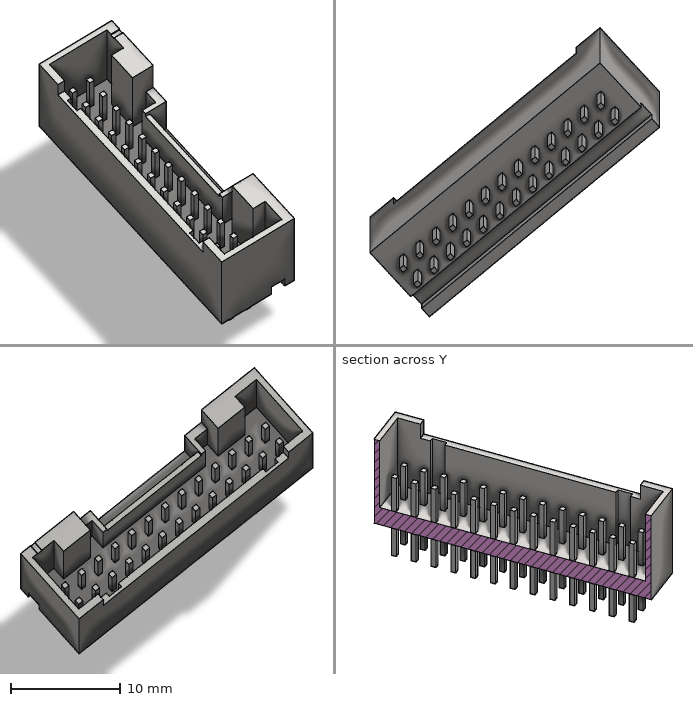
import cadquery as cq


LENGTH = 28.0
WIDTH = 8.3
HEIGHT = 9.6
FLOOR_THICKNESS = 2.0
END_WALL = 0.6
FRONT_WALL = 0.75
BACK_WALL = 1.0

FRONT_CORNER_LENGTH = 2.9
FRONT_WALL_HEIGHT = 8.0

KEYWAY_OFFSET = 3.9
KEYWAY_LENGTH = 1.45
KEYWAY_DEPTH = 0.42

POST_OFFSET = 3.15
POST_END_OFFSET = 6.35
POST_DEPTH = 2.37

POCKET_END_OFFSET = 7.85
BRACKET_END_OFFSET = 8.35
BRACKET_HEIGHT = 6.2
BRACKET_BACK_WALL = 0.85

LIP_THICKNESS = 0.5
LIP_HEIGHT = 5.8
GUSSET_LENGTH = 1.45
GUSSET_THICKNESS = 0.5
GUSSET_HEIGHT = 4.0

CHANNEL_OFFSET = 1.1
CHANNEL_WIDTH = 1.5
CHANNEL_DEPTH = 1.1

MARK_OFFSET = 1.2
MARK_WIDTH = 0.5
MARK_DEPTH = 0.15

PINS_PER_ROW = 13
PIN_PITCH = 2.0
PIN_SIZE = 0.5
PIN_TAIL = 3.1
PIN_TOP = 5.8
FRONT_ROW_OFFSET = 2.38
ROW_SPACING = 1.97

LEFT = -LENGTH / 2
RIGHT = LENGTH / 2
FRONT = -WIDTH / 2
BACK = WIDTH / 2
CAVITY_FRONT = FRONT + FRONT_WALL
CAVITY_BACK = BACK - POST_DEPTH


def block(x_range, y_range, z_range):
    """Box between the given limits along each axis."""
    size = [limits[1] - limits[0] for limits in (x_range, y_range, z_range)]
    corner = (x_range[0], y_range[0], z_range[0])
    return cq.Workplane("XY").box(*size, centered=False).translate(corner)


def both_ends(start, end, y_range, z_range):
    """Mirrored pair of boxes whose start and end are measured from the two ends of the housing."""
    left = block((LEFT + start, LEFT + end), y_range, z_range)
    return left.union(left.mirror("YZ"))


def make_shell():
    """Open-topped box with a wide gap in the back wall and a low front wall."""
    inside = (FLOOR_THICKNESS, HEIGHT)
    shell = block((LEFT, RIGHT), (FRONT, BACK), (0, HEIGHT))
    cavity = block((LEFT + END_WALL, RIGHT - END_WALL), (CAVITY_FRONT, CAVITY_BACK), inside)
    corners = both_ends(END_WALL, POST_OFFSET, (CAVITY_FRONT, BACK - BACK_WALL), inside)
    back_gap = block((LEFT + POST_END_OFFSET, RIGHT - POST_END_OFFSET), (CAVITY_FRONT, BACK), inside)
    front_gap = block(
        (LEFT + FRONT_CORNER_LENGTH, RIGHT - FRONT_CORNER_LENGTH),
        (FRONT, CAVITY_FRONT),
        (FRONT_WALL_HEIGHT, HEIGHT),
    )
    return shell.cut(cavity).cut(corners).cut(back_gap).cut(front_gap)


def make_brackets():
    """L-shaped walls that close off the pockets beside the posts."""
    heights = (FLOOR_THICKNESS, BRACKET_HEIGHT)
    outer = both_ends(POST_END_OFFSET, BRACKET_END_OFFSET, (CAVITY_BACK, BACK), heights)
    pockets = both_ends(POST_END_OFFSET, POCKET_END_OFFSET, (CAVITY_BACK, BACK - BRACKET_BACK_WALL), heights)
    return outer.cut(pockets)


def make_latch_lip():
    """Thin wall between the brackets and the gussets behind its ends."""
    lip_back = CAVITY_BACK + LIP_THICKNESS
    lip = block(
        (LEFT + BRACKET_END_OFFSET, RIGHT - BRACKET_END_OFFSET),
        (CAVITY_BACK, lip_back),
        (FLOOR_THICKNESS, LIP_HEIGHT),
    )
    gussets = both_ends(
        BRACKET_END_OFFSET,
        BRACKET_END_OFFSET + GUSSET_LENGTH,
        (lip_back, lip_back + GUSSET_THICKNESS),
        (FLOOR_THICKNESS, GUSSET_HEIGHT),
    )
    return lip.union(gussets)


def make_keyways():
    """Vertical slots in the inner face of the front wall."""
    return both_ends(
        KEYWAY_OFFSET,
        KEYWAY_OFFSET + KEYWAY_LENGTH,
        (CAVITY_FRONT - KEYWAY_DEPTH, CAVITY_FRONT),
        (FLOOR_THICKNESS, HEIGHT),
    )


def make_channel():
    """Channel running the full length of the underside."""
    channel_back = BACK - CHANNEL_OFFSET
    return block((LEFT, RIGHT), (channel_back - CHANNEL_WIDTH, channel_back), (0, CHANNEL_DEPTH))


def make_pin_one_mark():
    """Shallow groove across the back rim near the left end."""
    mark_left = LEFT + MARK_OFFSET
    return block(
        (mark_left, mark_left + MARK_WIDTH),
        (BACK - BACK_WALL, BACK),
        (HEIGHT - MARK_DEPTH, HEIGHT),
    )


def make_pins():
    """Two rows of square pins passing through the floor."""
    front_row = FRONT + FRONT_ROW_OFFSET
    first_pin = -PIN_PITCH * (PINS_PER_ROW - 1) / 2
    centres = [
        (first_pin + column * PIN_PITCH, row_y)
        for row_y in (front_row, front_row + ROW_SPACING)
        for column in range(PINS_PER_ROW)
    ]
    return (
        cq.Workplane("XY")
        .workplane(offset=-PIN_TAIL)
        .pushPoints(centres)
        .rect(PIN_SIZE, PIN_SIZE)
        .extrude(PIN_TAIL + PIN_TOP)
    )


housing = make_shell().union(make_brackets()).union(make_latch_lip())
housing = housing.cut(make_keyways()).cut(make_channel()).cut(make_pin_one_mark())
result = housing.union(make_pins())